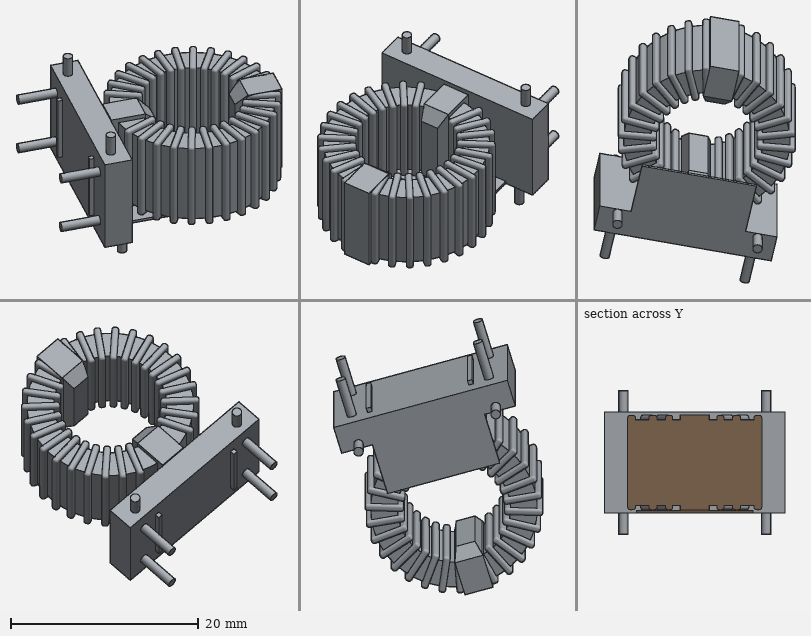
import cadquery as cq


CORE_OUTER_RADIUS = 8.88
CORE_INNER_RADIUS = 6.03
CORE_HEIGHT = 9.17

TURN_PITCH = 12.0
FIRST_TURN_ANGLE = -66.0
TURNS_PER_SIDE = 13
WIRE_WIDTH = 0.75
WIRE_ROUNDING = 0.3
TURN_HEIGHT = 10.13
TURN_OUTER_RADIUS = 9.5
TURN_INNER_RADIUS = 5.4
LAST_TURN_INNER_RADIUS = 5.68

SPACER_HEIGHT = 10.2
SPACER_WIDTH = 3.12
SPACER_OUTER_Y = 9.55
SPACER_SHOULDER_Y = 5.73
SPACER_NOSE_Y = 4.43
NOSE_WIDTH = 2.08
NOSE_HEIGHT = 7.63

PLATE_WIDTH = 19.3
PLATE_THICKNESS = 3.07
PLATE_HEIGHT = 10.8
PLATE_GAP = 0.21
PLATE_BACK_Y = -(SPACER_OUTER_Y + PLATE_GAP)
PLATE_FRONT_Y = PLATE_BACK_Y - PLATE_THICKNESS

SHELF_WIDTH = 12.48
SHELF_DEPTH = 5.8
SHELF_THICKNESS = (PLATE_HEIGHT - SPACER_HEIGHT) / 2

PIN_DIAMETER = 1.01
PIN_RADIUS = PIN_DIAMETER / 2
PIN_X = 7.63
FRONT_PIN_Z = 3.17
FRONT_PIN_LENGTH = 4.3
END_PIN_SPAN = 15.35
END_PIN_LENGTH = (END_PIN_SPAN - PLATE_HEIGHT) / 2
UPPER_PIN_Y = PLATE_BACK_Y - 1.75
LOWER_PIN_Y = PLATE_BACK_Y - PIN_RADIUS

RIB_X = 5.63
RIB_WIDTH = 0.5
RIB_HEIGHT = 7.4
RIB_DEPTH = 0.5


def make_core():
    """Plain ring with a rectangular section."""
    return (
        cq.Workplane("XY")
        .circle(CORE_OUTER_RADIUS)
        .circle(CORE_INNER_RADIUS)
        .extrude(CORE_HEIGHT / 2, both=True)
    )


def make_turn(angle, inner_radius):
    """One rounded turn of wire around the core section, at the given angle."""
    depth = TURN_OUTER_RADIUS - inner_radius
    middle_radius = (TURN_OUTER_RADIUS + inner_radius) / 2
    return (
        cq.Workplane("XY")
        .box(depth, WIRE_WIDTH, TURN_HEIGHT)
        .edges()
        .fillet(WIRE_ROUNDING)
        .translate((middle_radius, 0, 0))
        .rotate((0, 0, 0), (0, 0, 1), angle)
    )


def make_spacer():
    """Block on the +Y side of the core, with its nose pointing to the axis."""
    block = (
        cq.Workplane("XZ", origin=(0, SPACER_SHOULDER_Y, 0))
        .rect(SPACER_WIDTH, SPACER_HEIGHT)
        .extrude(SPACER_SHOULDER_Y - SPACER_OUTER_Y)
    )
    nose = (
        cq.Workplane("XZ", origin=(0, SPACER_SHOULDER_Y, 0))
        .rect(SPACER_WIDTH, SPACER_HEIGHT)
        .workplane(offset=SPACER_SHOULDER_Y - SPACER_NOSE_Y)
        .rect(NOSE_WIDTH, NOSE_HEIGHT)
        .loft(ruled=True)
    )
    return block.union(nose)


def make_coil():
    """Core, winding and spacers as one body."""
    coil = make_core()
    for index in range(TURNS_PER_SIDE):
        angle = FIRST_TURN_ANGLE + index * TURN_PITCH
        is_last = index == TURNS_PER_SIDE - 1
        inner_radius = LAST_TURN_INNER_RADIUS if is_last else TURN_INNER_RADIUS
        right_turn = make_turn(angle, inner_radius)
        coil = coil.union(right_turn).union(right_turn.mirror("YZ"))
    spacer = make_spacer()
    return coil.union(spacer).union(spacer.mirror("XZ"))


def make_plate():
    """Upright plate with the thin shelf along its lower back edge."""
    plate = cq.Workplane("XY").box(PLATE_WIDTH, PLATE_THICKNESS, PLATE_HEIGHT)
    plate = plate.translate((0, (PLATE_BACK_Y + PLATE_FRONT_Y) / 2, 0))
    shelf = cq.Workplane("XY").box(SHELF_WIDTH, SHELF_DEPTH, SHELF_THICKNESS)
    shelf_z = -(PLATE_HEIGHT - SHELF_THICKNESS) / 2
    return plate.union(shelf.translate((0, PLATE_BACK_Y + SHELF_DEPTH / 2, shelf_z)))


def make_front_pins():
    """Four pins standing on the front face of the plate."""
    return (
        cq.Workplane("XZ", origin=(0, PLATE_FRONT_Y, 0))
        .rect(2 * PIN_X, 2 * FRONT_PIN_Z, forConstruction=True)
        .vertices()
        .circle(PIN_RADIUS)
        .extrude(FRONT_PIN_LENGTH)
    )


def make_end_pins(pin_y, start_z, length):
    """A pair of pins along Z; a negative length points down."""
    return (
        cq.Workplane("XY", origin=(0, pin_y, start_z))
        .pushPoints([(-PIN_X, 0), (PIN_X, 0)])
        .circle(PIN_RADIUS)
        .extrude(length)
    )


def make_ribs():
    """Two upright ribs on the front face of the plate."""
    return (
        cq.Workplane("XZ", origin=(0, PLATE_FRONT_Y, 0))
        .pushPoints([(-RIB_X, 0), (RIB_X, 0)])
        .rect(RIB_WIDTH, RIB_HEIGHT)
        .extrude(RIB_DEPTH)
    )


def make_base():
    """Plate, shelf, pins and ribs as one body."""
    base = make_plate()
    base = base.union(make_front_pins())
    base = base.union(make_end_pins(UPPER_PIN_Y, PLATE_HEIGHT / 2, END_PIN_LENGTH))
    base = base.union(make_end_pins(LOWER_PIN_Y, -PLATE_HEIGHT / 2, -END_PIN_LENGTH))
    return base.union(make_ribs())


coil = make_coil()
base = make_base()

result = cq.Compound.makeCompound([*coil.solids().vals(), *base.solids().vals()])